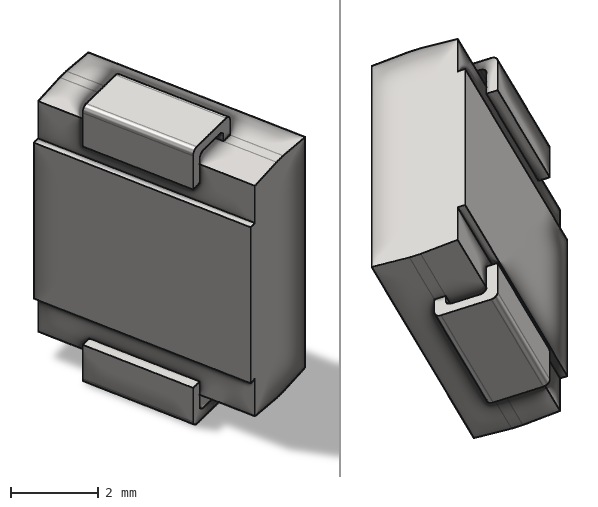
import cadquery as cq

total_length = 8.08
body_width = 5.9
total_depth = 2.53

body_depth = 2.16
ridge_half_length = 3.44
edge_half_length = 3.36

pad_length = 4.55
pad_front = 2.34

lead_width = 3.005
lead_thickness = 0.28
lead_back = 0.945
lead_tip_length = 1.15
bend_radius = 0.16
root_overlap = 0.08

ridge_back = lead_back
ridge_front = lead_back + lead_thickness


def extrude_across(outline, width):
    """Extrude a closed (Y, Z) outline symmetrically about X = 0."""
    return cq.Workplane("YZ").polyline(outline).close().extrude(width / 2, both=True)


def make_body():
    """Block whose two ends taper away from a flat band level with the leads."""
    upper = [
        (0, edge_half_length),
        (-ridge_back, ridge_half_length),
        (-ridge_front, ridge_half_length),
        (-body_depth, edge_half_length),
    ]
    lower = [(y, -z) for y, z in reversed(upper)]
    return extrude_across(upper + lower, body_width)


def make_pad():
    pad_height = pad_front - ridge_front
    pad = cq.Workplane("XY").box(body_width, pad_height, pad_length)
    return pad.translate((0, -(ridge_front + pad_front) / 2, 0))


def make_lead():
    """Hook-shaped upper lead, rooted in the flat band on the body end."""
    end = total_length / 2
    inner_end = end - lead_thickness
    root = ridge_half_length - root_overlap
    tip = end - lead_tip_length
    inner_front = total_depth - lead_thickness
    outline = [
        (-lead_back, root),
        (-lead_back, end),
        (-total_depth, end),
        (-total_depth, tip),
        (-inner_front, tip),
        (-inner_front, inner_end),
        (-ridge_front, inner_end),
        (-ridge_front, root),
    ]
    lead = extrude_across(outline, lead_width)
    outer_bends = lead.faces(">Z").edges("|X")
    lead = outer_bends.fillet(bend_radius)
    inner_bends = lead.edges(
        cq.selectors.BoxSelector(
            (-lead_width, -inner_front - bend_radius / 2, inner_end - bend_radius / 2),
            (lead_width, -ridge_front + bend_radius / 2, inner_end + bend_radius / 2),
        )
    ).edges("|X")
    return inner_bends.fillet(bend_radius)


upper_lead = make_lead()
lower_lead = upper_lead.mirror("XY")
result = make_body().union(make_pad()).union(upper_lead).union(lower_lead)